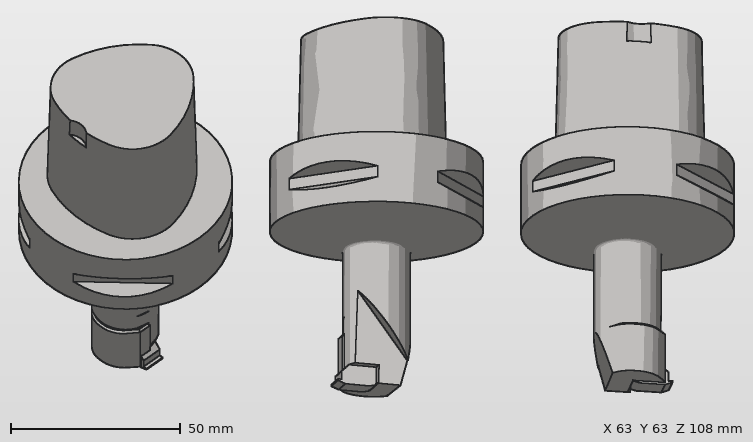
import cadquery as cq
import math


SHANK_HEIGHT = 38.0
SHANK_TAPER = 1.432
LOBE_OFFSET = 8.7
LOBE_RADIUS = 14.7
SIDE_REACH = 20.3

KEYWAY_RADIUS = 5.8
KEYWAY_DEPTH = 6.2
KEYWAY_INNER_Y = -18.0

FLANGE_RADIUS = 63.0 / 2
FLANGE_BOTTOM = -21.5
CONE_BOTTOM = -27.3
NECK_RADIUS = 20.0 / 2
NECK_FILLET = 1.1

GROOVE_COUNT = 4
GROOVE_FLOOR = 27.9
GROOVE_Z = -12.2
GROOVE_FLOOR_HEIGHT = 3.3
GROOVE_RIM_HEIGHT = 7.9

HEAD_TOP = -53.7
HEAD_BOTTOM = -69.4
HEAD_TILT = 2.0
HEAD_FRONT_Y = -10.9
HEAD_SIDE_X = 10.6
LEFT_ARC_RADIUS = 7.6
RIGHT_ARC_RADIUS = 9.3
FRONT_FLAT = 0.9
RIGHT_FLAT_X = 8.3
HEAD_CHAMFER = 0.6
BACK_CUT_X = -5.8

RAKE_Y = 5.3
RUNOUT_TOP_X = -1.3
RUNOUT_ANGLE = 38.0

NECK_FLAT_X = 9.2
NECK_FLAT_TOP = -48.6

TOOL_BOTTOM = -70.0
INSERT_BACK_Y = -3.7
INSERT_THICKNESS = 6.6
INSERT_INNER_X = 1.0
INSERT_TOP = -64.0
INSERT_SIDE_X = 11.7
INSERT_SHOULDER = -66.1
TIP_X = 12.9
TIP_TOP = -68.7
TIP_BOTTOM = -69.1

BEYOND = 43.2


def polar(radius, degrees):
    """Point at a radius and an angle about the tool axis."""
    angle = math.radians(degrees)
    return cq.Vector(radius * math.cos(angle), radius * math.sin(angle))


def make_shank():
    """Tapered prism on three small lobe arcs joined by three large tangent side arcs."""
    gap = SIDE_REACH - LOBE_RADIUS
    side_offset = (LOBE_OFFSET ** 2 - gap ** 2) / (2 * gap - LOBE_OFFSET)
    side_radius = side_offset + SIDE_REACH

    def joint(lobe_angle, side_angle):
        lobe_centre = polar(LOBE_OFFSET, lobe_angle)
        side_centre = polar(-side_offset, side_angle)
        return side_centre + (lobe_centre - side_centre).normalized() * side_radius

    start = joint(90, 30)
    outline = cq.Workplane("XY").moveTo(start.x, start.y)
    for lobe_angle in (90, 210, 330):
        lobe_middle = polar(LOBE_OFFSET + LOBE_RADIUS, lobe_angle)
        lobe_end = joint(lobe_angle, lobe_angle + 60)
        side_middle = polar(SIDE_REACH, lobe_angle + 60)
        side_end = joint(lobe_angle + 120, lobe_angle + 60)
        outline = outline.threePointArc(lobe_middle.toTuple()[:2], lobe_end.toTuple()[:2])
        outline = outline.threePointArc(side_middle.toTuple()[:2], side_end.toTuple()[:2])
    shank = outline.close().extrude(SHANK_HEIGHT, taper=SHANK_TAPER)
    keyway = (
        cq.Workplane("XY", origin=(0, KEYWAY_INNER_Y - KEYWAY_RADIUS, SHANK_HEIGHT - KEYWAY_DEPTH))
        .circle(KEYWAY_RADIUS)
        .extrude(KEYWAY_DEPTH)
    )
    return shank.cut(keyway)


def make_flange_and_neck():
    """Turned flange, cone and neck, with a fillet between cone and neck."""
    body = (
        cq.Workplane("XZ")
        .moveTo(0, 0)
        .lineTo(FLANGE_RADIUS, 0)
        .lineTo(FLANGE_RADIUS, FLANGE_BOTTOM)
        .lineTo(NECK_RADIUS, CONE_BOTTOM)
        .lineTo(NECK_RADIUS, TOOL_BOTTOM)
        .lineTo(0, TOOL_BOTTOM)
        .close()
        .revolve(360, (0, 0, 0), (0, 1, 0))
    )
    neck_corner = cq.selectors.BoxSelector(
        (-FLANGE_RADIUS, -FLANGE_RADIUS, CONE_BOTTOM - NECK_FILLET),
        (FLANGE_RADIUS, FLANGE_RADIUS, CONE_BOTTOM + NECK_FILLET),
    )
    return body.edges(neck_corner).edges("%CIRCLE").fillet(NECK_FILLET)


def make_groove(angle):
    """Straight groove with a flat floor and flaring walls, across the flange rim."""
    flare = (GROOVE_RIM_HEIGHT - GROOVE_FLOOR_HEIGHT) / (FLANGE_RADIUS - GROOVE_FLOOR)
    outer = FLANGE_RADIUS + 1.1
    half_floor = GROOVE_FLOOR_HEIGHT / 2
    half_outer = half_floor + flare * (outer - GROOVE_FLOOR) / 2
    return (
        cq.Workplane("XZ")
        .polyline([
            (GROOVE_FLOOR, GROOVE_Z - half_floor),
            (outer, GROOVE_Z - half_outer),
            (outer, GROOVE_Z + half_outer),
            (GROOVE_FLOOR, GROOVE_Z + half_floor),
        ])
        .close()
        .extrude(FLANGE_RADIUS, both=True)
        .rotate((0, 0, 0), (0, 0, 1), angle)
    )


def make_head_lobe():
    """Bulge of the head beyond the neck: two arcs with a short flat, and tangent flats at the ends."""
    left_centre = cq.Vector(0, HEAD_FRONT_Y + LEFT_ARC_RADIUS)
    left_start = left_centre + polar(LEFT_ARC_RADIUS, 225)
    left_middle = left_centre + polar(LEFT_ARC_RADIUS, 247.5)
    neck_tangent = polar(NECK_RADIUS, 225)
    right_centre = cq.Vector(FRONT_FLAT, HEAD_FRONT_Y + RIGHT_ARC_RADIUS)
    right_end_angle = -math.degrees(math.acos((RIGHT_FLAT_X - FRONT_FLAT) / RIGHT_ARC_RADIUS))
    right_end = right_centre + polar(RIGHT_ARC_RADIUS, right_end_angle)
    right_middle = right_centre + polar(RIGHT_ARC_RADIUS, (right_end_angle - 90) / 2)
    flat_rise = (HEAD_SIDE_X - RIGHT_FLAT_X) * math.tan(math.radians(90 + right_end_angle))
    return (
        cq.Workplane("XY", origin=(0, 0, TOOL_BOTTOM))
        .moveTo(0, 0)
        .lineTo(neck_tangent.x, neck_tangent.y)
        .lineTo(left_start.x, left_start.y)
        .threePointArc(left_middle.toTuple()[:2], (0, HEAD_FRONT_Y))
        .lineTo(FRONT_FLAT, HEAD_FRONT_Y)
        .threePointArc(right_middle.toTuple()[:2], right_end.toTuple()[:2])
        .lineTo(HEAD_SIDE_X, right_end.y + flat_rise)
        .lineTo(HEAD_SIDE_X, 0)
        .close()
        .extrude(HEAD_TOP - TOOL_BOTTOM)
        .faces(">Z")
        .chamfer(HEAD_CHAMFER)
    )


def make_bottom_cut():
    """Space below the slightly tilted bottom face of the head."""
    return (
        cq.Workplane("XY")
        .box(BEYOND, BEYOND, BEYOND, centered=(True, True, False))
        .translate((0, 0, -BEYOND))
        .rotate((0, 0, 0), (1, 0, 0), -HEAD_TILT)
        .translate((0, 0, HEAD_BOTTOM))
    )


def make_back_cut():
    """Wedge beyond the slanted face on the -X side of the head."""
    return (
        cq.Workplane("XZ")
        .polyline([
            (-NECK_RADIUS, HEAD_TOP),
            (BACK_CUT_X, HEAD_BOTTOM),
            (BACK_CUT_X, TOOL_BOTTOM - 1.1),
            (-BEYOND, TOOL_BOTTOM - 1.1),
            (-BEYOND, HEAD_TOP),
        ])
        .close()
        .extrude(BEYOND, both=True)
    )


def make_chip_pocket():
    """Space on the +Y side of the tilted rake face, ended by a sloping runout face."""
    slope = math.tan(math.radians(RUNOUT_ANGLE))
    low_z = TOOL_BOTTOM - 1.1
    low_x = RUNOUT_TOP_X - slope * (HEAD_TOP - low_z)
    high_z = HEAD_TOP + (NECK_RADIUS - RUNOUT_TOP_X) / slope
    return (
        cq.Workplane("XZ", origin=(0, RAKE_Y, 0))
        .polyline([(low_x, low_z), (NECK_RADIUS, high_z), (BEYOND, high_z), (BEYOND, low_z)])
        .close()
        .extrude(-BEYOND)
        .rotate((0, RAKE_Y, HEAD_BOTTOM), (1, RAKE_Y, HEAD_BOTTOM), -HEAD_TILT)
    )


def make_neck_flat():
    """Sliver outside a chord of the neck, just above the head."""
    chord_y = -math.sqrt(NECK_RADIUS ** 2 - NECK_FLAT_X ** 2)
    return (
        cq.Workplane("XY", origin=(0, 0, HEAD_TOP))
        .polyline([(NECK_FLAT_X, chord_y), (NECK_RADIUS, 0), (NECK_RADIUS, chord_y)])
        .close()
        .extrude(NECK_FLAT_TOP - HEAD_TOP)
    )


def make_insert(thickness):
    """Insert-shaped plate standing on the back of its seat, with its cutting tip at +X."""
    return (
        cq.Workplane("XZ", origin=(0, INSERT_BACK_Y, 0))
        .polyline([
            (INSERT_INNER_X, INSERT_TOP),
            (HEAD_SIDE_X - 1.1, INSERT_TOP),
            (INSERT_SIDE_X, INSERT_SHOULDER),
            (INSERT_SIDE_X, TIP_TOP),
            (TIP_X, TIP_TOP),
            (TIP_X, TIP_BOTTOM),
            (HEAD_SIDE_X, TOOL_BOTTOM),
            (INSERT_INNER_X + 2.2, TOOL_BOTTOM),
            (INSERT_INNER_X, HEAD_BOTTOM),
        ])
        .close()
        .extrude(-thickness)
    )


holder = make_flange_and_neck()
for index in range(GROOVE_COUNT):
    holder = holder.cut(make_groove(45 + index * 360 / GROOVE_COUNT))
holder = holder.union(make_shank())
holder = holder.cut(make_neck_flat())
holder = holder.union(make_head_lobe())
holder = holder.cut(make_bottom_cut())
holder = holder.cut(make_back_cut())
holder = holder.cut(make_chip_pocket())
holder = holder.cut(make_insert(BEYOND))

insert = make_insert(INSERT_THICKNESS)

result = cq.Compound.makeCompound([holder.solids().val(), insert.val()])